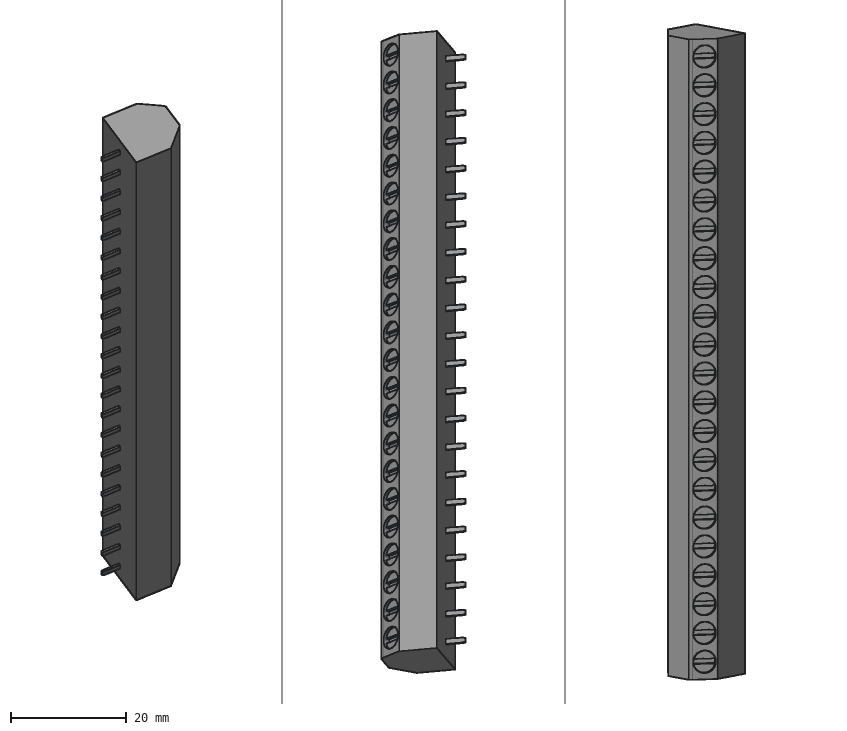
import cadquery as cq

length = 112.7
width = 12.0
depth = 10.8
back_chamfer = 4.0

upper_strip_x = 0.4
upper_strip_y = 0.5
screw_face_x = 2.5
screw_face_y = 3.5
lower_strip_x = 0.06
lower_strip_y = 0.17

pole_count = 22
pitch = 5.1

well_diameter = 4.0
well_depth = 0.6
slot_width = 0.9
slot_depth = 0.7

pin_length = 3.5
pin_width = 0.9
pin_thickness = 0.5
pin_tip_length = 0.5
pin_tip_width = 0.7
pin_embed = 0.6

left = -width / 2
right = width / 2

screw_face_low = (left + lower_strip_x, depth - upper_strip_y - screw_face_y)
screw_face_high = (screw_face_low[0] + screw_face_x, screw_face_low[1] + screw_face_y)


def make_housing():
    outline = [
        (left, 0),
        (right, 0),
        (right, depth - back_chamfer),
        (right - back_chamfer, depth),
        (screw_face_high[0] + upper_strip_x, depth),
        screw_face_high,
        screw_face_low,
        (left, screw_face_low[1] - lower_strip_y),
    ]
    return cq.Workplane("XY").polyline(outline).close().extrude(length)


def make_screw_well(height):
    """Shallow round well plus the deeper screwdriver slot across its floor, running up the slope."""
    center = (
        (screw_face_low[0] + screw_face_high[0]) / 2,
        (screw_face_low[1] + screw_face_high[1]) / 2,
        height,
    )
    slope_direction = (screw_face_x, screw_face_y, 0)
    outward = (-screw_face_y, screw_face_x, 0)
    face = cq.Workplane(cq.Plane(origin=center, xDir=slope_direction, normal=outward))
    well_radius = well_diameter / 2
    total_depth = well_depth + slot_depth
    well = face.circle(well_radius).extrude(-well_depth)
    slot = face.rect(well_diameter, slot_width).extrude(-total_depth)
    bore = face.circle(well_radius).extrude(-total_depth)
    return well.union(slot.intersect(bore))


def make_pin(height):
    """Flat pin whose tip tapers in Z."""
    outline = [
        (pin_embed, -pin_width / 2),
        (pin_embed, pin_width / 2),
        (pin_tip_length - pin_length, pin_width / 2),
        (-pin_length, pin_tip_width / 2),
        (-pin_length, -pin_tip_width / 2),
        (pin_tip_length - pin_length, -pin_width / 2),
    ]
    pin = cq.Workplane("YZ").polyline(outline).close().extrude(pin_thickness / 2, both=True)
    return pin.translate((0, 0, height))


first_pole_height = (length - (pole_count - 1) * pitch) / 2

result = make_housing()
for pole in range(pole_count):
    pole_height = first_pole_height + pole * pitch
    result = result.cut(make_screw_well(pole_height))
    result = result.union(make_pin(pole_height))